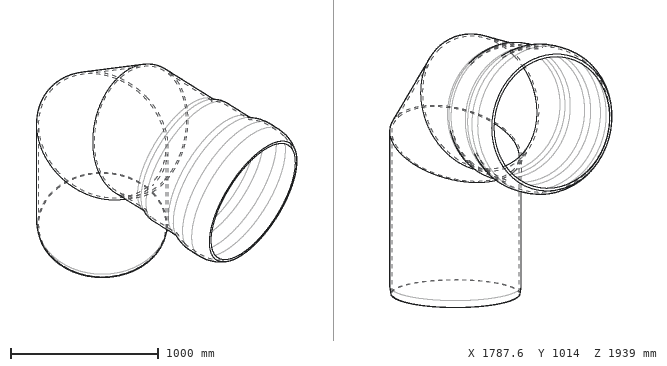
import cadquery as cq
import math

pipe_radius = 890.0 / 2
sleeve_radius = 942.0 / 2
crown_radius = 1014.0 / 2
mouth_radius = 467.0
wall = 14.5

bend_angle = 87.0
joint_turn = bend_angle / 2

overall_height = 1939.0
middle_length = 483.0
upper_length = 987.0

spigot_taper_height = 50.0
spigot_taper_depth = 8.0

sleeve_step_start = 341.0
sleeve_step_inflection = 380.0
sleeve_start = 436.0
crown_step_start = 632.0
crown_step_inflection = 685.0
crown_start = 785.0
crown_end = 865.0

mouth_run = upper_length - crown_end
mouth_drop = crown_radius - mouth_radius
mouth_arc_radius = (mouth_run**2 + mouth_drop**2) / (2 * mouth_drop)

socket_slope = math.radians(90 - bend_angle)
socket_top = (
    crown_end * math.sin(socket_slope)
    + (crown_radius - mouth_arc_radius) * math.cos(socket_slope)
    + mouth_arc_radius
)
lower_length = overall_height - socket_top - middle_length * math.cos(math.radians(joint_turn))

cutter_size = 3 * crown_radius
overrun = pipe_radius


def direction(angle):
    """Unit vector in the XZ plane, tilted from +Z towards +X."""
    tilt = math.radians(angle)
    return cq.Vector(math.sin(tilt), 0, math.cos(tilt))


def plane_along(origin, angle):
    """Plane whose normal is the tilted direction."""
    return cq.Plane(origin=origin.toTuple(), xDir=direction(angle + 90).toTuple(),
                    normal=direction(angle).toTuple())


lower_joint = cq.Vector(0, 0, lower_length)
upper_joint = lower_joint + direction(joint_turn) * middle_length
lower_mitre = plane_along(lower_joint, joint_turn / 2)
upper_mitre = plane_along(upper_joint, joint_turn * 3 / 2)


def beyond(mitre):
    """Block filling the space past a mitre plane."""
    return cq.Workplane(mitre).rect(2 * cutter_size, 2 * cutter_size).extrude(cutter_size)


def before(mitre):
    """Block filling the space ahead of a mitre plane."""
    return cq.Workplane(mitre).rect(2 * cutter_size, 2 * cutter_size).extrude(-cutter_size)


def s_step(profile, start, inflection, end, low, high, inset):
    """Add two tangent arcs that widen the profile, offset inwards by inset."""
    run = end - start
    rise = high - low
    sweep = 2 * math.atan(rise / run)
    first_radius = (inflection - start) / math.sin(sweep) + inset
    second_radius = (end - inflection) / math.sin(sweep) - inset

    def on_first(angle):
        return (low - inset + first_radius * (1 - math.cos(angle)),
                start + first_radius * math.sin(angle))

    def on_second(angle):
        return (high - inset - second_radius * (1 - math.cos(angle)),
                end - second_radius * math.sin(angle))

    profile = profile.lineTo(low - inset, start)
    profile = profile.threePointArc(on_first(sweep / 2), on_first(sweep))
    return profile.threePointArc(on_second(sweep / 2), (high - inset, end))


def socket_core(inset):
    """Solid of revolution of the socket tube, offset inwards by inset."""
    profile = cq.Workplane("XZ").moveTo(0, -overrun).lineTo(pipe_radius - inset, -overrun)
    profile = s_step(profile, sleeve_step_start, sleeve_step_inflection, sleeve_start,
                     pipe_radius, sleeve_radius, inset)
    profile = s_step(profile, crown_step_start, crown_step_inflection, crown_start,
                     sleeve_radius, crown_radius, inset)

    arc_radius = mouth_arc_radius - inset
    sweep = math.asin(mouth_run / arc_radius)

    def on_mouth(angle):
        return (crown_radius - inset - arc_radius * (1 - math.cos(angle)),
                crown_end + arc_radius * math.sin(angle))

    profile = profile.lineTo(crown_radius - inset, crown_end)
    profile = profile.threePointArc(on_mouth(sweep / 2), on_mouth(sweep))
    profile = profile.lineTo(0, upper_length).close()
    return profile.revolve(360, (0, 0, 0), (0, 1, 0))


def make_lower_pipe():
    """Vertical tube with a tapered spigot end at the bottom."""
    height = lower_length + overrun
    tube = (
        cq.Workplane("XZ")
        .moveTo(pipe_radius - wall, 0)
        .lineTo(pipe_radius - spigot_taper_depth, 0)
        .lineTo(pipe_radius, spigot_taper_height)
        .lineTo(pipe_radius, height)
        .lineTo(pipe_radius - wall, height)
        .close()
        .revolve(360, (0, 0, 0), (0, 1, 0))
    )
    return tube.cut(beyond(lower_mitre))


def make_middle_segment():
    """Plain tube mitred at both ends."""
    start = lower_joint - direction(joint_turn) * overrun
    tube = (
        cq.Workplane(plane_along(start, joint_turn))
        .circle(pipe_radius)
        .circle(pipe_radius - wall)
        .extrude(middle_length + 2 * overrun)
    )
    return tube.cut(before(lower_mitre)).cut(beyond(upper_mitre))


def make_socket():
    """Mitred tube with the widened sleeve and crown."""
    tube = socket_core(0).cut(socket_core(wall))
    placed = tube.val().moved(cq.Location(plane_along(upper_joint, bend_angle)))
    return cq.Workplane(placed).cut(before(upper_mitre))


lower_pipe = make_lower_pipe()
middle_segment = make_middle_segment()
socket = make_socket()

result = cq.Compound.makeCompound([
    lower_pipe.solids().val(),
    middle_segment.solids().val(),
    socket.solids().val(),
])